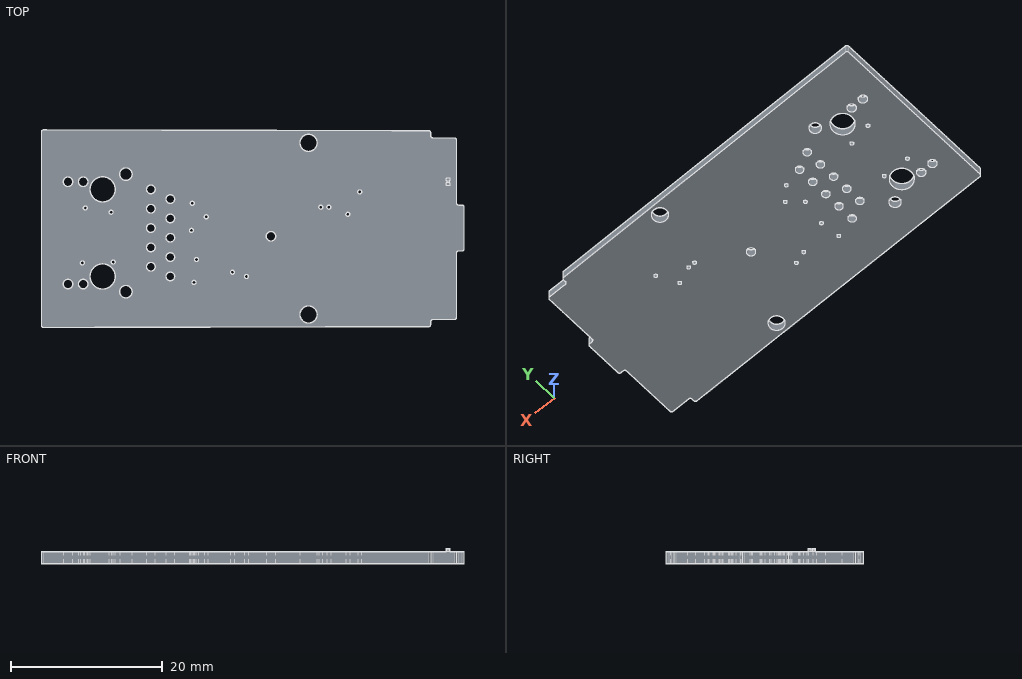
import cadquery as cq

board_length = 55.65
left_width = 26.05
right_width = 25.8
board_thickness = 1.6
corner_radius = 0.3

step_x = 51.25
shoulder_x = 54.65
shoulder_half_width = 11.95
tab_bottom_y = -2.95
tab_top_y = 3.1

mount_diameter = 2.2
mount_x = 35.15
mount_half_spacing = 11.3

connector_y = -0.55
post_diameter = 3.3
post_x = 8.05
post_half_spacing = 5.75
shield_diameter = 1.6
shield_x = 11.15
shield_half_spacing = 7.75
led_diameter = 1.2
led_x_positions = [3.5, 5.5]
led_half_spacing = 6.75

pin_diameter = 1.1
pin_count = 5
pin_span = 10.2
pin_pitch = pin_span / (pin_count - 1)
pin_row_x = [14.4, 16.95]

center_hole_diameter = 1.2
center_hole_position = (30.2, -1.0)

via_diameter = 0.5
via_positions = [
    (5.8, 2.7), (9.2, 2.15), (5.4, -4.5), (9.45, -4.4),
    (19.85, 3.35), (21.7, 1.55), (19.75, -0.2), (20.4, -4.05),
    (20.1, -7.05), (25.15, -5.75), (27.0, -6.3),
    (36.8, 2.85), (37.85, 2.85), (40.35, 1.9), (41.9, 4.85),
]

chip_center = (53.5, 6.2)
chip_length = 1.0
terminal_length = 0.4
terminal_width = 0.5
terminal_height = 0.4
terminal_corner_radius = 0.1
middle_width = 0.35
middle_height = 0.35
terminal_spacing = chip_length - terminal_length


def mirrored(x, half_spacing, center_y=0.0):
    """Two points at the same X, placed evenly about center_y."""
    return [(x, center_y - half_spacing), (x, center_y + half_spacing)]


def drill(body, positions, diameter):
    """Cut round holes right through the board."""
    cutters = cq.Workplane("XY").pushPoints(positions).circle(diameter / 2).extrude(board_thickness)
    return body.cut(cutters)


def make_blank():
    outline = [
        (0, -left_width / 2),
        (step_x, -right_width / 2),
        (step_x, -shoulder_half_width),
        (shoulder_x, -shoulder_half_width),
        (shoulder_x, tab_bottom_y),
        (board_length, tab_bottom_y),
        (board_length, tab_top_y),
        (shoulder_x, tab_top_y),
        (shoulder_x, shoulder_half_width),
        (step_x, shoulder_half_width),
        (step_x, right_width / 2),
        (0, left_width / 2),
    ]
    blank = cq.Workplane("XY").polyline(outline).close().extrude(board_thickness)
    return blank.edges("|Z").fillet(corner_radius)


def pin_positions():
    """Two staggered rows of pins, half a pitch apart."""
    positions = []
    for row, x in enumerate(pin_row_x):
        row_center_y = connector_y + (0.5 - row) * pin_pitch / 2
        first_y = row_center_y - pin_span / 2
        positions += [(x, first_y + i * pin_pitch) for i in range(pin_count)]
    return positions


def make_board():
    body = make_blank()
    body = drill(body, mirrored(mount_x, mount_half_spacing), mount_diameter)
    body = drill(body, mirrored(post_x, post_half_spacing, connector_y), post_diameter)
    body = drill(body, mirrored(shield_x, shield_half_spacing, connector_y), shield_diameter)
    for x in led_x_positions:
        body = drill(body, mirrored(x, led_half_spacing, connector_y), led_diameter)
    body = drill(body, pin_positions(), pin_diameter)
    body = drill(body, [center_hole_position], center_hole_diameter)
    return drill(body, via_positions, via_diameter)


def make_chip():
    base = cq.Workplane("XY", origin=(*chip_center, board_thickness))
    terminals = (
        base.pushPoints(mirrored(0, terminal_spacing / 2))
        .rect(terminal_width, terminal_length)
        .extrude(terminal_height)
        .edges("|Z")
        .fillet(terminal_corner_radius)
    )
    middle = base.rect(middle_width, terminal_spacing).extrude(middle_height)
    return terminals.union(middle)


board = make_board()
chip = make_chip()

result = cq.Compound.makeCompound([board.val(), chip.val()])